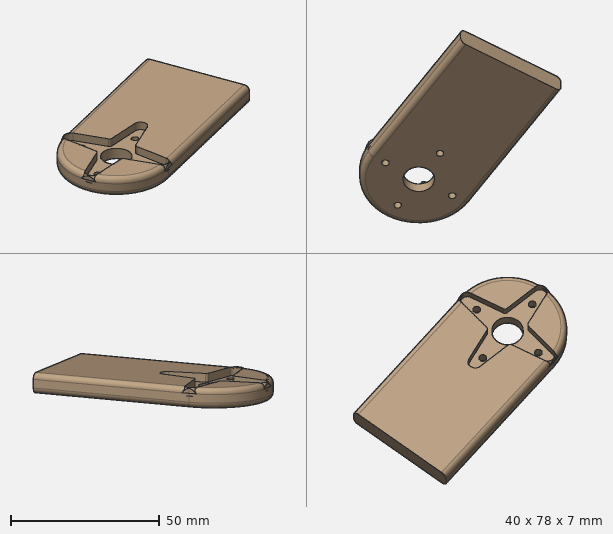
import cadquery as cq
import math

length = 78
width = 40.0
thickness = 7
end_radius = width / 2
straight_length = length - end_radius
edge_radius = 2.0

recess_depth = 3.0
recess_floor = thickness - recess_depth
tip_reach = 19.8
tip_radius = 2.4
tip_center = tip_reach - tip_radius
taper_angle = math.radians(10)
inner_corner_radius = 1.0

lip_base_radius = tip_radius + 1.25
lip_height = 1.95

bore_diameter = 10.6
screw_diameter = 2.5
screw_circle_radius = 13.3

arm_angles = (0, 90, 180, 270)
lip_angles = (0, 180, 270)


def make_blank():
    """Plate with straight sides and a semicircular end toward -Y."""
    return (
        cq.Workplane("XY")
        .moveTo(-end_radius, straight_length)
        .lineTo(-end_radius, 0)
        .threePointArc((0, -end_radius), (end_radius, 0))
        .lineTo(end_radius, straight_length)
        .close()
        .extrude(thickness)
    )


def make_lips(blank):
    """Cones around the recess tips, trimmed to the plate outline."""
    cone = cq.Workplane("XY").add(
        cq.Solid.makeCone(
            lip_base_radius,
            tip_radius,
            lip_height,
            pnt=cq.Vector(tip_center, 0, thickness - lip_height),
        )
    )
    lips = cq.Workplane("XY")
    for angle in lip_angles:
        lips = lips.add(cone.rotate((0, 0, 0), (0, 0, 1), angle))
    return lips.combine().intersect(blank)


def make_recess():
    """Star whose arms taper toward rounded tips and meet at small rounded corners."""
    tangent_x = tip_center + tip_radius * math.sin(taper_angle)
    tangent_y = tip_radius * math.cos(taper_angle)
    taper = math.tan(taper_angle)
    corner = (tangent_y + tangent_x * taper) / (1 + taper)
    arm = (
        cq.Workplane("XY", origin=(0, 0, recess_floor))
        .lineTo(corner, -corner)
        .lineTo(tangent_x, -tangent_y)
        .threePointArc((tip_reach, 0), (tangent_x, tangent_y))
        .lineTo(corner, corner)
        .close()
        .extrude(recess_depth)
    )
    star = arm
    for angle in arm_angles[1:]:
        star = star.union(arm.rotate((0, 0, 0), (0, 0, 1), angle))
    corner_zone = cq.selectors.BoxSelector(
        (-2 * corner, -2 * corner, 0), (2 * corner, 2 * corner, thickness)
    )
    return star.clean().edges("|Z").edges(corner_zone).fillet(inner_corner_radius)


def make_holes():
    """Central bore and one screw hole in each arm of the star."""
    bore = cq.Workplane("XY").circle(bore_diameter / 2).extrude(thickness)
    screws = (
        cq.Workplane("XY")
        .polarArray(screw_circle_radius, 0, 360, len(arm_angles))
        .circle(screw_diameter / 2)
        .extrude(thickness)
    )
    return bore.union(screws)


blank = make_blank()
plate = blank.faces("<Z or >Z").edges("not >Y").fillet(edge_radius)
result = plate.union(make_lips(blank)).cut(make_recess()).cut(make_holes())